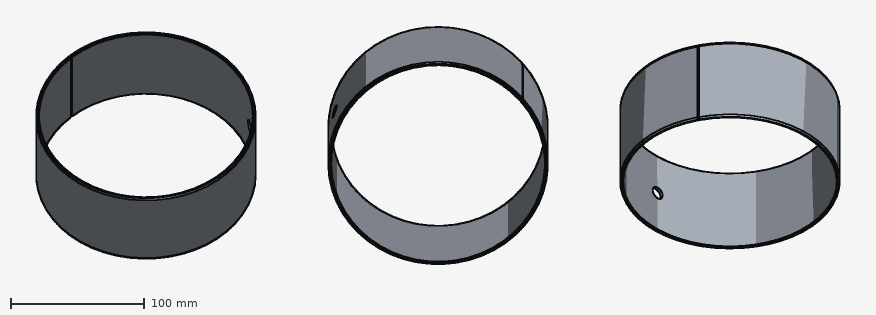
import cadquery as cq
import math

outer_diameter = 165.0
wall_thickness = 2.5
length = 70.0

outer_chamfer_axial = 1.8
outer_chamfer_angle = 20.0

inner_chamfer = 0.8

full_turn = 360.0
strip_start_angle = 180.0
split_angle = 1.0

oil_hole_diameter = 10.0
oil_hole_from_strip_end = 120.0

outer_radius = outer_diameter / 2
inner_radius = outer_radius - wall_thickness
half_length = length / 2
outer_chamfer_radial = outer_chamfer_axial * math.tan(math.radians(outer_chamfer_angle))
strip_end_angle = strip_start_angle - split_angle
oil_hole_angle = strip_end_angle - oil_hole_from_strip_end


def rotate_about_z(shape, angle):
    """Turn a shape counter-clockwise about the Z axis."""
    return shape.rotate((0, 0, 0), (0, 0, 1), angle)


def make_split_sleeve():
    """Revolve the chamfered wall section about Z, leaving the split open."""
    outer_straight_end = half_length - outer_chamfer_axial
    inner_straight_end = half_length - inner_chamfer
    face_outer_radius = outer_radius - outer_chamfer_radial
    face_inner_radius = inner_radius + inner_chamfer
    wall_section = [
        (outer_radius, -outer_straight_end),
        (outer_radius, outer_straight_end),
        (face_outer_radius, half_length),
        (face_inner_radius, half_length),
        (inner_radius, inner_straight_end),
        (inner_radius, -inner_straight_end),
        (face_inner_radius, -half_length),
        (face_outer_radius, -half_length),
    ]
    section = cq.Workplane("XZ").polyline(wall_section).close()
    sleeve = section.revolve(full_turn - split_angle, (0, 0), (0, 1))
    return rotate_about_z(sleeve, strip_start_angle)


def make_oil_hole_cutter():
    """Cylinder from the axis to well outside, piercing one side of the wall."""
    drill = cq.Workplane("YZ").circle(oil_hole_diameter / 2).extrude(outer_diameter)
    return rotate_about_z(drill, oil_hole_angle)


result = make_split_sleeve().cut(make_oil_hole_cutter())